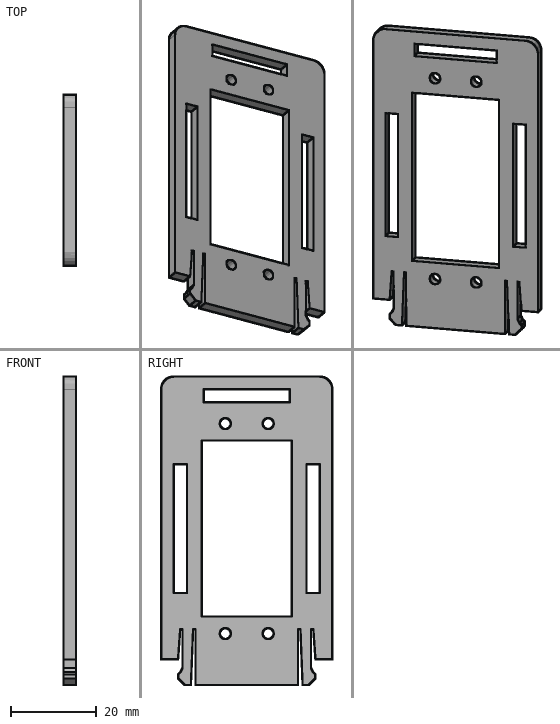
import cadquery as cq


thickness = 3.0
width = 40.0
height = 72.0
corner_radius = 3.0
shoulder_height = 6.0

window_center_z = 36.5
window_width = 21.0
window_height = 41.0

hole_diameter = 2.5
hole_spacing_y = 10.0
hole_spacing_z = 49.0

slot_width = 3.0
slot_edge_margin = 3.0
top_slot_length = 20.0
side_slot_length = 30.0

gap_top_z = 13.0
gap_top_width = 0.5
gap_bottom_width = 1.0
tongue_half_width = 12.0
arm_outer_y = 15.0

barb_depth = 1.0
barb_top_z = 4.0
barb_knee_depth = 0.5
barb_knee_z = 3.0
barb_tip_top_z = 2.5
barb_tip_bottom_z = 1.5
barb_lead_in = 1.5


def prism(points):
    """Polygon of (Y, Z) points extruded through the plate thickness."""
    return cq.Workplane("YZ").polyline(points).close().extrude(thickness)


def rectangular_block(center_y, center_z, size_y, size_z):
    """Rectangle centred at (Y, Z) extruded through the plate thickness."""
    return cq.Workplane("YZ").center(center_y, center_z).rect(size_y, size_z).extrude(thickness)


def plate_blank():
    """Full rectangular plate with rounded upper corners."""
    blank = rectangular_block(0, height / 2, width, height)
    return blank.edges("|X and >Z").fillet(corner_radius)


def window():
    return rectangular_block(0, window_center_z, window_width, window_height)


def screw_holes():
    return (
        cq.Workplane("YZ")
        .center(0, window_center_z)
        .rect(hole_spacing_y, hole_spacing_z, forConstruction=True)
        .vertices()
        .circle(hole_diameter / 2)
        .extrude(thickness)
    )


def top_slot():
    center_z = height - slot_edge_margin - slot_width / 2
    return rectangular_block(0, center_z, top_slot_length, slot_width)


def side_slot():
    """Slot along the +Y edge."""
    center_y = width / 2 - slot_edge_margin - slot_width / 2
    return rectangular_block(center_y, window_center_z, slot_width, side_slot_length)


def inner_gap():
    """Gap between the tongue and the +Y snap arm, widening downwards."""
    return prism([
        (tongue_half_width, 0),
        (tongue_half_width, gap_top_z),
        (tongue_half_width + gap_top_width, gap_top_z),
        (tongue_half_width + gap_bottom_width, 0),
    ])


def outer_relief():
    """Space outside the +Y snap arm: the barb outline, the leg end and the tapered gap."""
    barb_tip_y = arm_outer_y + barb_depth
    return prism([
        (barb_tip_y - barb_lead_in, 0),
        (barb_tip_y, barb_tip_bottom_z),
        (barb_tip_y, barb_tip_top_z),
        (arm_outer_y + barb_knee_depth, barb_knee_z),
        (arm_outer_y, barb_top_z),
        (arm_outer_y, gap_top_z),
        (arm_outer_y + gap_top_width, gap_top_z),
        (arm_outer_y + gap_bottom_width, shoulder_height),
        (width / 2, shoulder_height),
        (width / 2, 0),
    ])


plate = plate_blank()
plate = plate.cut(window())
plate = plate.cut(screw_holes())
plate = plate.cut(top_slot())

for side_cutter in (side_slot(), inner_gap(), outer_relief()):
    plate = plate.cut(side_cutter)
    plate = plate.cut(side_cutter.mirror("XZ"))

result = plate